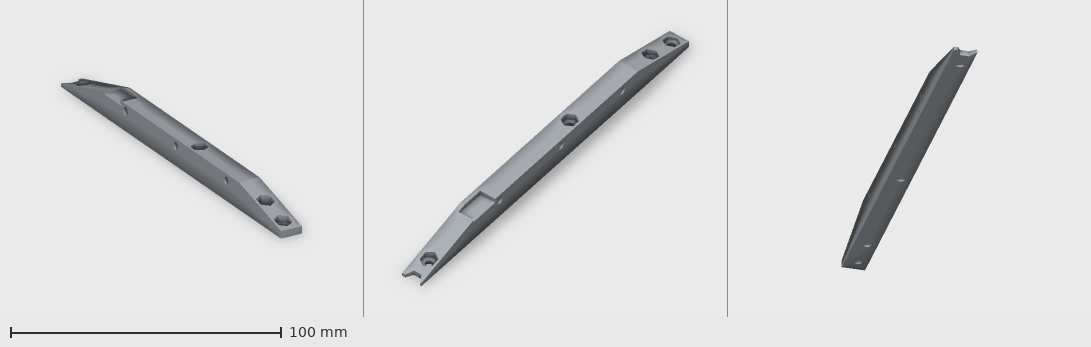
import cadquery as cq
import math

length = 159.5
width = 9.0
height = 11.0
left_end_height = 1.5
right_end_height = 3.0
left_taper = 34.6
right_taper = 30.3

hole_diameter = 3.2
side_hole_pitch = 36.5
side_hole_middle_x = 83.3
side_hole_z = 8.1
screw_line_y = -0.5

nut_flats = 6.0
nut_corners = nut_flats / math.cos(math.pi / 6)
nut_seats = [(9.7, 1.9), (93.6, 8.1), (141.6, 4.5), (154.2, 2.4)]

recess_start_x = 31.3
recess_length = 12.9
recess_depth = 1.9
recess_wall = 1.9


def make_bar():
    return (
        cq.Workplane("XZ", origin=(0, width / 2, 0))
        .moveTo(0, 0)
        .lineTo(length, 0)
        .lineTo(length, right_end_height)
        .lineTo(length - right_taper, height)
        .lineTo(left_taper, height)
        .lineTo(0, left_end_height)
        .close()
        .extrude(width)
    )


def hexagon(x, floor_z, rotation=0):
    """Hexagonal prism from floor_z to the top; unrotated, its corners point along X."""
    return (
        cq.Workplane("XY")
        .polygon(6, nut_corners)
        .extrude(height - floor_z)
        .rotate((0, 0, 0), (0, 0, 1), rotation)
        .translate((x, screw_line_y, floor_z))
    )


def screw_hole(x):
    return cq.Workplane("XY").center(x, screw_line_y).circle(hole_diameter / 2).extrude(height)


def side_hole(x):
    return (
        cq.Workplane("XZ", origin=(x, width / 2, side_hole_z))
        .circle(hole_diameter / 2)
        .extrude(width)
    )


def top_recess():
    return (
        cq.Workplane("XY")
        .box(recess_length, width - recess_wall, recess_depth, centered=False)
        .translate((recess_start_x, -width / 2, height - recess_depth))
    )


result = make_bar().cut(top_recess())

result = result.cut(hexagon(0, 0, rotation=90))

for seat_x, seat_floor_z in nut_seats:
    result = result.cut(hexagon(seat_x, seat_floor_z)).cut(screw_hole(seat_x))

for step in (-1, 0, 1):
    result = result.cut(side_hole(side_hole_middle_x + step * side_hole_pitch))